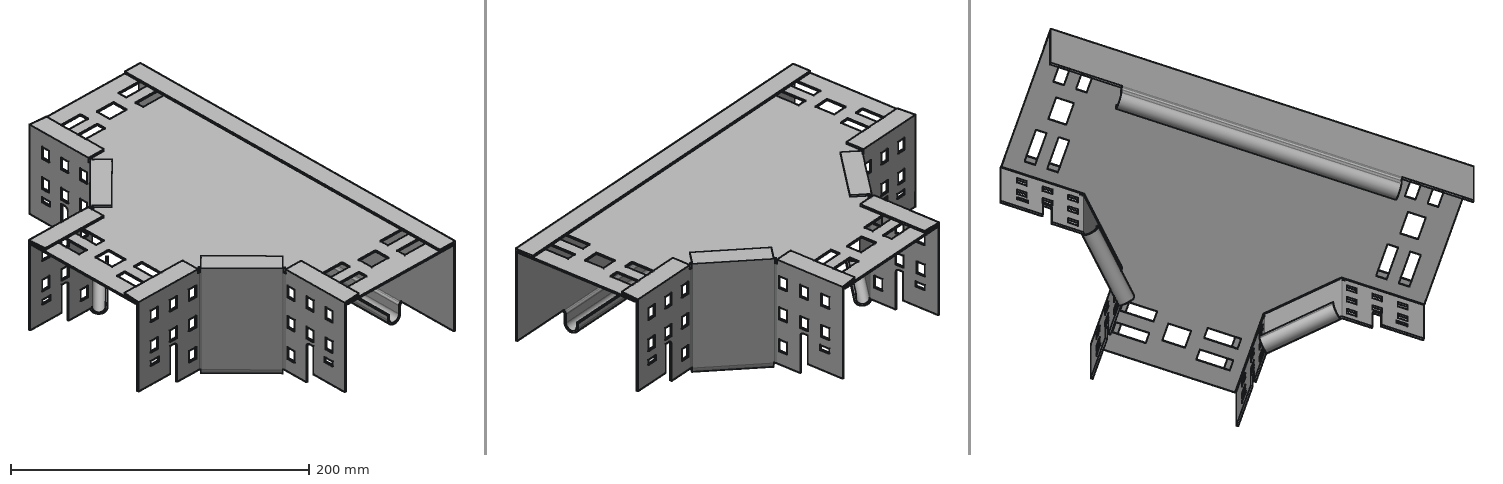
import cadquery as cq
import math


run_length = 300.0
depth = 202.33
total_height = 88.0
half_run = run_length / 2
tray_width = 2 * (depth - half_run)
half_branch = tray_width / 2
arm_reach = depth - tray_width
arm_length = 57.8
diagonal_leg = arm_reach - arm_length

sheet = 1.5
flange_width = 14.7
half_bend = math.tan(math.radians(45 / 2))
bend_setback = sheet * half_bend
bend_radius = 1.6
bend_tangent = bend_radius * half_bend
diagonal_flat = diagonal_leg * math.sqrt(2) - 2 * bend_tangent

hook_radius = 6.0
hook_tip_height = 3.4
back_hook_length = 198.5
joggle_height = 2.7
joggle_turn = 1 / 3
joggle_lag = 0.6

wall_height = total_height - hook_radius
low_wall_height = 72.5

hole_width = 7.0
hole_height = 9.4
hole_columns = (15.05, 33.2, 51.25)
hole_rows = (17.2, 41.8, 67.1)
short_slot_width = 8.0
short_slot_height = 4.0
short_slot_top = 53.3
notch_start = 30.0
notch_end = 36.4
notch_top = 49.8
notch_radius = 3.0

relief_width = 1.8
relief_height = 3.4
relief_overlap = 0.8
flange_taper = 1.1
lip_reach = 0.17
lip_height = 11.0

plate_thickness = 1.25
plate_clearance = 0.8
slot_width = 7.5
slot_starts = (13.6, 29.7)
slot_reach = 34.4
slot_cover = 4.0
window_start = 19.0
window_length = 12.6
window_width = 16.1
run_openings_shift = 0.2


def block(x_range, y_range, z_range):
    corner = (x_range[0], y_range[0], z_range[0])
    far = (x_range[1], y_range[1], z_range[1])
    sizes = [b - a for a, b in zip(corner, far)]
    return cq.Workplane("XY").box(*sizes, centered=False).translate(corner)


def hook(length, face):
    """Upward-open hook along +X from x = 0; outer face at y = face, opening towards +Y."""
    center = face + hook_radius
    far = center + hook_radius
    tip = hook_tip_height - wall_height
    inner_radius = hook_radius - sheet
    return (
        cq.Workplane("YZ")
        .moveTo(face, -wall_height)
        .threePointArc((center, -total_height), (far, -wall_height))
        .lineTo(far, tip)
        .lineTo(far - sheet, tip)
        .lineTo(far - sheet, -wall_height)
        .threePointArc((center, -wall_height - inner_radius), (face + sheet, -wall_height))
        .close()
        .extrude(length)
    )



def make_back_wall():
    """Flat wall with a top flange; in the middle it steps inward into a hook."""
    run = (-half_run, half_run)
    wall = block(run, (-sheet, 0), (-low_wall_height, 0))
    flange = block(run, (-flange_width, 0), (-sheet, 0))
    inner_top = -low_wall_height
    outer_top = inner_top - joggle_lag
    turn_in = sheet * joggle_turn
    turn_down = joggle_height * joggle_turn
    joggle = (
        cq.Workplane("YZ")
        .moveTo(0, inner_top)
        .lineTo(0, outer_top)
        .tangentArcPoint((turn_in, outer_top - turn_down), relative=False)
        .tangentArcPoint((sheet, outer_top - joggle_height), relative=False)
        .lineTo(sheet, -wall_height)
        .lineTo(2 * sheet, -wall_height)
        .lineTo(2 * sheet, inner_top - joggle_height)
        .tangentArcPoint((sheet + turn_in, inner_top - turn_down), relative=False)
        .tangentArcPoint((sheet, inner_top), relative=False)
        .close()
        .extrude(back_hook_length)
    )
    stepped_hook = joggle.union(hook(back_hook_length, sheet))
    stepped_hook = stepped_hook.rotate((0, 0, 0), (0, 0, 1), 180)
    stepped_hook = stepped_hook.translate((back_hook_length / 2, 0, 0))
    return wall.union(flange).union(stepped_hook)



def mirror_to_other_arm(body):
    """Reflect across the line y = -x."""
    return body.mirror("XZ").rotate((0, 0, 0), (0, 0, 1), -90)


def corner_panels():
    """The three upright panels with rounded bends."""
    inner_bend = diagonal_leg - bend_setback
    arm_outline = [(arm_reach, sheet), (arm_reach, 0), (diagonal_leg, 0)]
    outline = (
        [(inner_bend, sheet)] + arm_outline
        + [(0, -diagonal_leg), (0, -arm_reach), (-sheet, -arm_reach), (-sheet, -inner_bend)]
    )
    panels = cq.Workplane("XY").polyline(outline).close().extrude(-wall_height)
    middle = -wall_height / 2
    bends = [
        ((diagonal_leg, 0), bend_radius),
        ((0, -diagonal_leg), bend_radius),
        ((inner_bend, sheet), bend_radius - sheet),
        ((-sheet, -inner_bend), bend_radius - sheet),
    ]
    for corner, radius in bends:
        edge = panels.edges(cq.NearestToPointSelector((*corner, middle)))
        panels = panels.newObject(edge.vals()).fillet(radius)
    return panels


def arm_flange():
    start = diagonal_leg + bend_tangent + relief_width - relief_overlap
    outline = [
        (start, 0),
        (arm_reach, 0),
        (arm_reach - flange_taper, flange_width),
        (start, flange_width),
    ]
    return cq.Workplane("XY").polyline(outline).close().extrude(-sheet)


def arm_opening(start, end, top, bottom):
    """Cutter through an arm panel; start and end count from the open end."""
    return block((arm_reach - end, arm_reach - start), (-sheet, 2 * sheet), (-bottom, -top))


def arm_openings():
    cutters = []
    for column in hole_columns:
        for row in hole_rows:
            lowest = row == hole_rows[-1]
            if lowest and column != hole_columns[-1]:
                continue
            cutters.append(arm_opening(
                column - hole_width / 2, column + hole_width / 2,
                row - hole_height / 2, row + hole_height / 2,
            ))
    short_start = hole_columns[0] - hole_width / 2
    cutters.append(arm_opening(
        short_start, short_start + short_slot_width,
        short_slot_top, short_slot_top + short_slot_height,
    ))
    notch = arm_opening(notch_start, notch_end, notch_top, total_height)
    cutters.append(notch.edges("|Y and >Z and <X").fillet(notch_radius))
    cutters.append(arm_opening(-sheet, notch_end, low_wall_height, total_height))
    relief_end = arm_length - bend_tangent + relief_overlap
    cutters.append(arm_opening(relief_end - relief_width, relief_end, 0, relief_height))
    return cutters


def make_corner(end_lip):
    wall = corner_panels()
    flange = arm_flange()
    wall = wall.union(flange).union(mirror_to_other_arm(flange))
    for cutter in arm_openings():
        wall = wall.cut(cutter).cut(mirror_to_other_arm(cutter))
    diagonal_flange = block((0, diagonal_flat), (0, flange_width), (-sheet, 0))
    for part in (diagonal_flange, hook(diagonal_flat, 0)):
        part = part.translate((bend_tangent, 0, 0)).rotate((0, 0, 0), (0, 0, 1), 45)
        wall = wall.union(part.translate((0, -diagonal_leg, 0)))
    if end_lip:
        lip_bottom = -low_wall_height
        lip = block(
            (arm_reach, arm_reach + lip_reach),
            (sheet / 2, sheet),
            (lip_bottom, lip_bottom + lip_height),
        )
        wall = wall.union(lip)
    return wall.translate((half_branch, -tray_width, 0))



def end_openings():
    """Cutters of an open end that lies at x = 0, with the plate along +X and y = 0 at mid-width."""
    through = (-sheet - 2 * plate_thickness, 0)
    half_tray = tray_width / 2
    inner_end = half_tray - slot_reach
    outer_end = half_tray - flange_width + slot_cover
    cutters = block(
        (window_start, window_start + window_length), (-window_width / 2, window_width / 2), through
    )
    for start in slot_starts:
        slot = (start, start + slot_width)
        cutters = cutters.union(block(slot, (inner_end, outer_end), through))
        cutters = cutters.union(block(slot, (-outer_end, -inner_end), through))
    return cutters


def make_floor_plate():
    """T-shaped plate with 45 degree inner corners and openings near its three ends."""
    inset = sheet + plate_clearance
    bend = half_branch + diagonal_leg - inset * half_bend
    diagonal_end = -tray_width - diagonal_leg + inset * half_bend
    right_side = [
        (half_run, -inset),
        (half_run, -tray_width + inset),
        (bend, -tray_width + inset),
        (half_branch - inset, diagonal_end),
        (half_branch - inset, -depth),
    ]
    left_side = [(-x, y) for x, y in reversed(right_side)]
    plate = (
        cq.Workplane("XY")
        .workplane(offset=-sheet)
        .polyline(right_side + left_side)
        .close()
        .extrude(-plate_thickness)
    )
    mid_run = -tray_width / 2 + run_openings_shift
    ends = [((-half_run, mid_run, 0), 0), ((half_run, mid_run, 0), 180), ((0, -depth, 0), 90)]
    for place, turn in ends:
        plate = plate.cut(end_openings().rotate((0, 0, 0), (0, 0, 1), turn).translate(place))
    return plate


floor_plate = make_floor_plate()
back_wall = make_back_wall()
right_corner_wall = make_corner(end_lip=True)
left_corner_wall = make_corner(end_lip=False).mirror("YZ")

result = cq.Compound.makeCompound([
    floor_plate.val(),
    back_wall.val(),
    right_corner_wall.val(),
    left_corner_wall.val(),
])